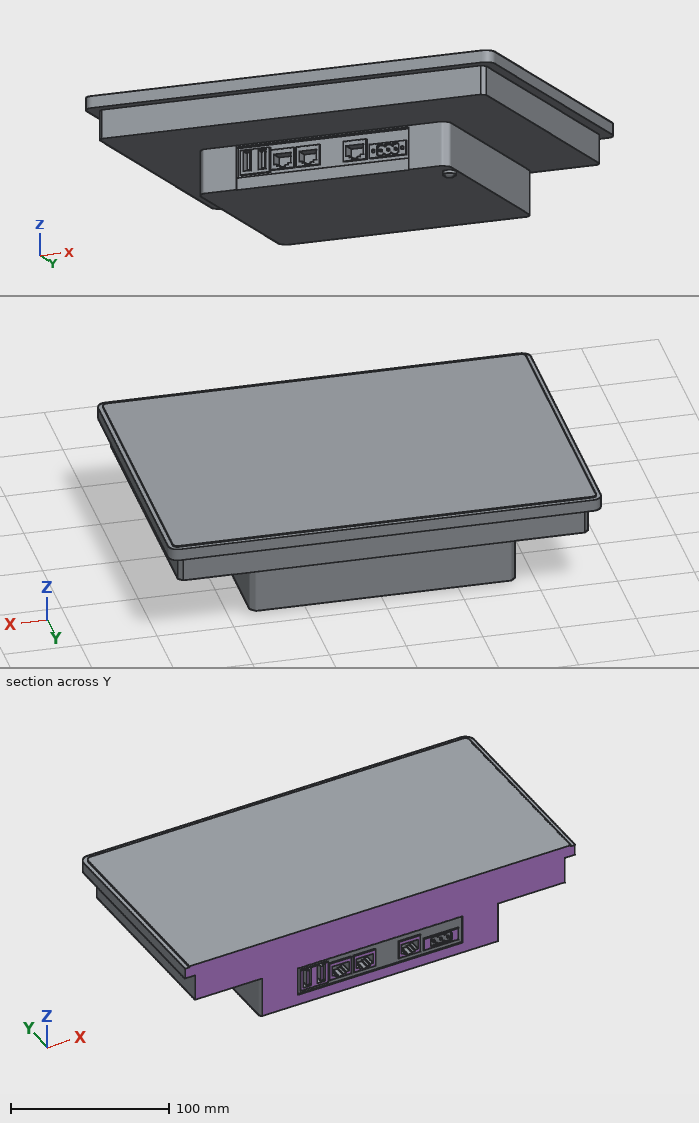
import cadquery as cq
import math


BEZEL_X = 282.0
BEZEL_Y = 197.0
BEZEL_HEIGHT = 8.0
BEZEL_CORNER_RADIUS = 6.2
GLASS_INSET = 3.0
GLASS_HEIGHT = 0.8

BODY_X = 267.3
BODY_Y = 183.3
BODY_HEIGHT = 19.0
BODY_CORNER_CHAMFER = 2.8

BOX_X = 173.1
BOX_FRONT_Y = -42.5
BOX_BACK_Y = 90.5
BOX_HEIGHT = 29.0
BOX_FRONT_CHAMFER = 4.0
BOX_FRONT_ROUNDING = 2.8
BOX_BACK_CHAMFER = 3.5
BOX_BACK_ROUNDING = 1.5

RECESS_WIDTH = 119.0
LIP_DEPTH = 0.8
PANEL_DEPTH = 3.5
PANEL_BOTTOM_Z = 8.0
PANEL_TOP_Z = 28.0
PANEL_Y = BOX_FRONT_Y + PANEL_DEPTH

CONNECTOR_PROJECTION = 1.7
CONNECTOR_FACE_Y = PANEL_Y - CONNECTOR_PROJECTION
SOCKET_DEPTH = 8.5
CONNECTOR_BOTTOM_Z = 11.0

USB_X = -47.5
USB_PORTS_X = -47.7
USB_WIDTH = 20.0
USB_BOTTOM_Z = 10.0
USB_TOP_Z = 26.0
USB_PORT_PITCH = 10.2
USB_PORT_WIDTH = 5.4
USB_PORT_BOTTOM_Z = 12.0
USB_PORT_TOP_Z = 25.0
USB_TONGUE_WIDTH = 2.0
USB_TONGUE_END_GAP = 0.8
USB_TONGUE_SETBACK = 0.8
USB_TONGUE_OFFSET = 0.5

NETWORK_X_POSITIONS = (-28.5, -11.0, 21.5)
NETWORK_WIDTH = 15.8
NETWORK_TOP_Z = 24.0
NETWORK_OPENING_TOP_Z = 21.0
NETWORK_OPENING_STEPS = ((11.8, 14.0), (7.5, 13.0), (3.7, 12.0))

TERMINAL_X = 44.3
TERMINAL_WIDTH = 25.0
TERMINAL_TOP_Z = 20.0
TERMINAL_CENTRE_Z = (CONNECTOR_BOTTOM_Z + TERMINAL_TOP_Z) / 2
POLE_PITCH = 5.0
POLE_HEIGHT = 7.0
POLE_CORNER_CHAMFER = 1.0
POLE_DEPTH = 2.3
PIN_SIZE = 1.0
FIXING_HOLE_DIAMETER = 2.0
FIXING_HOLE_SPACING = 20.0
FIXING_HOLE_DEPTH = 0.8

SCREW_X = 81.2
SCREW_Y = -27.5
SCREW_COLLAR_DIAMETER = 8.7
SCREW_COLLAR_HEIGHT = 2.0
SCREW_DOME_DIAMETER = 8.0
SCREW_DOME_HEIGHT = 2.0


def front_block(x_centre, width, bottom_z, top_z, front_y, depth):
    """Upright block that starts at front_y and runs back by depth."""
    return (
        cq.Workplane("XY")
        .box(width, depth, top_z - bottom_z, centered=(True, False, False))
        .translate((x_centre, front_y, bottom_z))
    )


def make_bezel_and_glass():
    bezel = (
        cq.Workplane("XY", origin=(0, 0, BOX_HEIGHT + BODY_HEIGHT))
        .rect(BEZEL_X, BEZEL_Y)
        .extrude(BEZEL_HEIGHT)
        .edges("|Z")
        .fillet(BEZEL_CORNER_RADIUS)
    )
    glass = (
        cq.Workplane("XY", origin=(0, 0, BOX_HEIGHT + BODY_HEIGHT + BEZEL_HEIGHT))
        .rect(BEZEL_X - 2 * GLASS_INSET, BEZEL_Y - 2 * GLASS_INSET)
        .extrude(GLASS_HEIGHT)
        .edges("|Z")
        .fillet(BEZEL_CORNER_RADIUS - GLASS_INSET)
    )
    return bezel.union(glass)


def make_body():
    return (
        cq.Workplane("XY", origin=(0, 0, BOX_HEIGHT))
        .rect(BODY_X, BODY_Y)
        .extrude(BODY_HEIGHT)
        .edges("|Z")
        .chamfer(BODY_CORNER_CHAMFER)
    )


def soften_corners(box, side, chamfer, rounding):
    """Chamfer the two upright edges on one side (<Y or >Y) and round both ends of each chamfer."""
    chamfered = box.faces(side).edges("|Z").chamfer(chamfer)
    side_ends = chamfered.faces(side).edges("|Z")
    flank_ends = chamfered.faces("<X or >X").edges("|Z").edges(side)
    return side_ends.add(flank_ends).fillet(rounding)


def make_box():
    box = front_block(0, BOX_X, 0, BOX_HEIGHT, BOX_FRONT_Y, BOX_BACK_Y - BOX_FRONT_Y)
    box = soften_corners(box, "<Y", BOX_FRONT_CHAMFER, BOX_FRONT_ROUNDING)
    return soften_corners(box, ">Y", BOX_BACK_CHAMFER, BOX_BACK_ROUNDING)


def make_recess():
    lip = front_block(0, RECESS_WIDTH, 0, PANEL_TOP_Z, BOX_FRONT_Y, LIP_DEPTH)
    panel = front_block(0, RECESS_WIDTH, PANEL_BOTTOM_Z, PANEL_TOP_Z, BOX_FRONT_Y, PANEL_DEPTH)
    return lip.union(panel)


def make_connector_bodies():
    outlines = [
        (USB_X, USB_WIDTH, USB_BOTTOM_Z, USB_TOP_Z),
        (TERMINAL_X, TERMINAL_WIDTH, CONNECTOR_BOTTOM_Z, TERMINAL_TOP_Z),
    ]
    for x in NETWORK_X_POSITIONS:
        outlines.append((x, NETWORK_WIDTH, CONNECTOR_BOTTOM_Z, NETWORK_TOP_Z))
    bodies = cq.Workplane("XY")
    for x, width, bottom_z, top_z in outlines:
        bodies = bodies.add(
            front_block(x, width, bottom_z, top_z, CONNECTOR_FACE_Y, CONNECTOR_PROJECTION)
        )
    return bodies.combine()


def make_usb_opening(x):
    port = front_block(
        x, USB_PORT_WIDTH, USB_PORT_BOTTOM_Z, USB_PORT_TOP_Z, CONNECTOR_FACE_Y, SOCKET_DEPTH
    )
    tongue = front_block(
        x + USB_TONGUE_OFFSET,
        USB_TONGUE_WIDTH,
        USB_PORT_BOTTOM_Z + USB_TONGUE_END_GAP,
        USB_PORT_TOP_Z - USB_TONGUE_END_GAP,
        CONNECTOR_FACE_Y + USB_TONGUE_SETBACK,
        SOCKET_DEPTH - USB_TONGUE_SETBACK,
    )
    return port.cut(tongue)


def make_network_opening(x):
    opening = cq.Workplane("XY")
    for width, bottom_z in NETWORK_OPENING_STEPS:
        opening = opening.union(
            front_block(x, width, bottom_z, NETWORK_OPENING_TOP_Z, CONNECTOR_FACE_Y, SOCKET_DEPTH)
        )
    return opening


def make_terminal_opening():
    bottom_z = TERMINAL_CENTRE_Z - POLE_HEIGHT / 2
    top_z = TERMINAL_CENTRE_Z + POLE_HEIGHT / 2
    opening = cq.Workplane("XY")
    for step in (-1, 0, 1):
        x = TERMINAL_X + step * POLE_PITCH
        pole = front_block(x, POLE_PITCH, bottom_z, top_z, CONNECTOR_FACE_Y, POLE_DEPTH)
        pole = pole.edges("|Y").chamfer(POLE_CORNER_CHAMFER)
        pin = front_block(
            x,
            PIN_SIZE,
            TERMINAL_CENTRE_Z - PIN_SIZE / 2,
            TERMINAL_CENTRE_Z + PIN_SIZE / 2,
            CONNECTOR_FACE_Y,
            POLE_DEPTH,
        )
        opening = opening.union(pole.cut(pin))
    for side in (-1, 1):
        x = TERMINAL_X + side * FIXING_HOLE_SPACING / 2
        start = cq.Vector(x, CONNECTOR_FACE_Y, TERMINAL_CENTRE_Z)
        fixing_hole = cq.Solid.makeCylinder(
            FIXING_HOLE_DIAMETER / 2, FIXING_HOLE_DEPTH, start, cq.Vector(0, 1, 0)
        )
        opening = opening.union(cq.Workplane(fixing_hole))
    return opening


def make_earthing_screw():
    collar_radius = SCREW_COLLAR_DIAMETER / 2
    collar_z = -SCREW_COLLAR_HEIGHT
    rim_radius = SCREW_DOME_DIAMETER / 2
    tip_z = collar_z - SCREW_DOME_HEIGHT
    dome_radius = (rim_radius**2 + SCREW_DOME_HEIGHT**2) / (2 * SCREW_DOME_HEIGHT)
    dome_centre_z = tip_z + dome_radius
    half_angle = math.asin(rim_radius / dome_radius) / 2
    dome_middle = (
        dome_radius * math.sin(half_angle),
        dome_centre_z - dome_radius * math.cos(half_angle),
    )
    return (
        cq.Workplane("XZ", origin=(SCREW_X, SCREW_Y, 0))
        .lineTo(collar_radius, 0)
        .lineTo(collar_radius, collar_z)
        .lineTo(rim_radius, collar_z)
        .threePointArc(dome_middle, (0, tip_z))
        .close()
        .revolve(360, (0, 0, 0), (0, 1, 0))
    )


result = make_bezel_and_glass().union(make_body())
result = result.union(make_box().cut(make_recess()))
result = result.union(make_connector_bodies())
for port_side in (-1, 1):
    result = result.cut(make_usb_opening(USB_PORTS_X + port_side * USB_PORT_PITCH / 2))
for socket_x in NETWORK_X_POSITIONS:
    result = result.cut(make_network_opening(socket_x))
result = result.cut(make_terminal_opening())
result = result.union(make_earthing_screw())